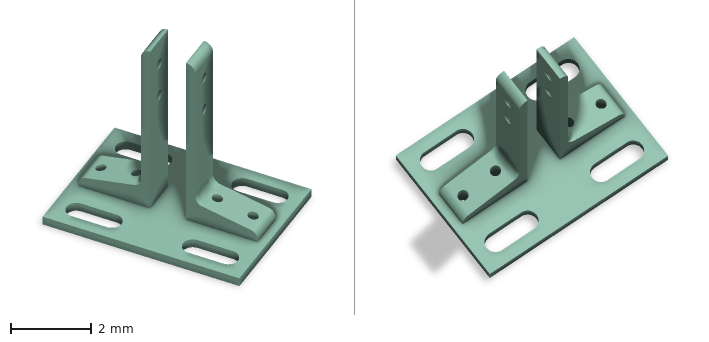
import cadquery as cq

PLATE_LENGTH = 5.5
PLATE_WIDTH = 4.0
PLATE_THICKNESS = 0.25

SLOT_LENGTH = 1.54
SLOT_WIDTH = 0.55
SLOT_OFFSET_X = 1.63
SLOT_OFFSET_Y = 1.375

BRACKET_HEIGHT = 5.005
BRACKET_WIDTH = 1.0
BRACKET_GAP = 1.0
FOOT_LENGTH = 2.0
WALL_THICKNESS = 0.255
FOOT_TIP_HEIGHT = 0.285
FOOT_ROOT_HEIGHT = 0.625
TOP_RADIUS = 0.25
ROOT_RADIUS = 0.25
TIP_RADIUS = 0.25

HOLE_DIAMETER = 0.28
HOLE_PITCH = 1.0
FOOT_HOLE_INSET = 0.375
WALL_HOLE_INSET = 0.75

BACK_X = BRACKET_GAP / 2
TIP_X = BACK_X + FOOT_LENGTH
FRONT_X = BACK_X + WALL_THICKNESS
TOP_Z = PLATE_THICKNESS + BRACKET_HEIGHT
FOOT_HOLE_XS = [TIP_X - FOOT_HOLE_INSET - i * HOLE_PITCH for i in range(2)]
WALL_HOLE_ZS = [TOP_Z - WALL_HOLE_INSET - i * HOLE_PITCH for i in range(2)]
SIDES = (-1, 1)


def foot_hole_cutter(side):
    """Vertical screw holes shared by one bracket foot and the plate."""
    return (
        cq.Workplane("XY")
        .pushPoints([(side * x, 0) for x in FOOT_HOLE_XS])
        .circle(HOLE_DIAMETER / 2)
        .extrude(TOP_Z)
    )


def wall_hole_cutter(side):
    """Horizontal screw holes through the upright wall of one bracket."""
    return (
        cq.Workplane("YZ")
        .pushPoints([(0, z) for z in WALL_HOLE_ZS])
        .circle(HOLE_DIAMETER / 2)
        .extrude(side * TIP_X)
    )


def make_plate():
    """Flat plate with four slots and the bracket screw holes."""
    plate = cq.Workplane("XY").box(PLATE_LENGTH, PLATE_WIDTH, PLATE_THICKNESS, centered=(True, True, False))
    slots = (
        cq.Workplane("XY")
        .rect(2 * SLOT_OFFSET_X, 2 * SLOT_OFFSET_Y, forConstruction=True)
        .vertices()
        .slot2D(SLOT_LENGTH, SLOT_WIDTH)
        .extrude(PLATE_THICKNESS)
    )
    plate = plate.cut(slots)
    for side in SIDES:
        plate = plate.cut(foot_hole_cutter(side))
    return plate


def round_edge(body, x, z, radius):
    """Fillet the edge along Y nearest to the given profile corner."""
    return body.edges(cq.selectors.NearestToPointSelector((x, 0, z))).fillet(radius)


def make_bracket(side):
    """Angle bracket with a tapered foot pointing to the given side of X."""
    root_z = PLATE_THICKNESS + FOOT_ROOT_HEIGHT
    tip_z = PLATE_THICKNESS + FOOT_TIP_HEIGHT
    profile = [
        (BACK_X, PLATE_THICKNESS),
        (TIP_X, PLATE_THICKNESS),
        (TIP_X, tip_z),
        (FRONT_X, root_z),
        (FRONT_X, TOP_Z),
        (BACK_X, TOP_Z),
    ]
    bracket = (
        cq.Workplane("XZ")
        .polyline([(side * x, z) for x, z in profile])
        .close()
        .extrude(BRACKET_WIDTH / 2, both=True)
    )
    bracket = round_edge(bracket, side * FRONT_X, TOP_Z, TOP_RADIUS)
    bracket = round_edge(bracket, side * FRONT_X, root_z, ROOT_RADIUS)
    bracket = round_edge(bracket, side * TIP_X, tip_z, TIP_RADIUS)
    return bracket.cut(foot_hole_cutter(side)).cut(wall_hole_cutter(side))


plate = make_plate()
brackets = [make_bracket(side) for side in SIDES]

result = cq.Compound.makeCompound([plate.val(), *[bracket.val() for bracket in brackets]])